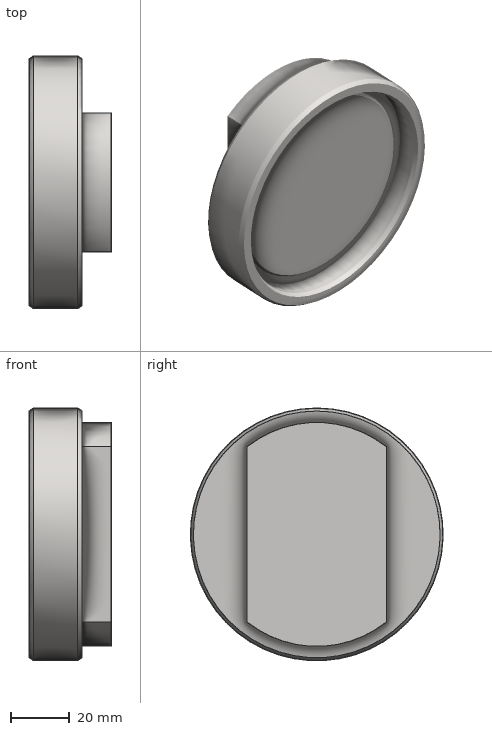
import cadquery as cq

outer_radius = 43.05
disc_thickness = 18.0
rim_chamfer_length = 1.5
rim_chamfer_depth = 1.0

bore_radius = 38.05
bore_depth = 8.2
mouth_flare_length = 1.5
mouth_flare_depth = 0.8

plateau_base_radius = 34.95
plateau_height = 1.0
plateau_taper = 0.9

total_length = 28.0
boss_radius = 38.1
boss_width = 47.35


def disc_body():
    """Revolve the half section of rim, cup and plateau about the X axis."""
    chamfered_radius = outer_radius - rim_chamfer_depth
    plateau_top = bore_depth - plateau_height
    return (
        cq.Workplane("XZ")
        .moveTo(plateau_top, 0)
        .lineTo(plateau_top, plateau_base_radius - plateau_taper)
        .lineTo(bore_depth, plateau_base_radius)
        .lineTo(bore_depth, bore_radius)
        .lineTo(mouth_flare_length, bore_radius)
        .lineTo(0, bore_radius + mouth_flare_depth)
        .lineTo(0, chamfered_radius)
        .lineTo(rim_chamfer_length, outer_radius)
        .lineTo(disc_thickness - rim_chamfer_length, outer_radius)
        .lineTo(disc_thickness, chamfered_radius)
        .lineTo(disc_thickness, 0)
        .close()
        .revolve(360, (0, 0, 0), (1, 0, 0))
    )


def flatted_boss():
    """Extrude a round boss and trim it to width with flats facing +Y and -Y."""
    boss_length = total_length - disc_thickness
    back_face = cq.Workplane("YZ").workplane(offset=disc_thickness)
    round_boss = back_face.circle(boss_radius).extrude(boss_length)
    width_limit = back_face.rect(boss_width, 2 * boss_radius).extrude(boss_length)
    return round_boss.intersect(width_limit)


result = disc_body().union(flatted_boss())